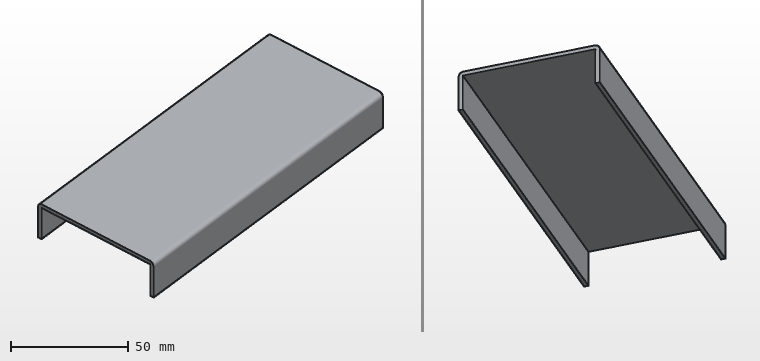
import cadquery as cq

length = 152.4
width = 64.5
height = 19.0
wall = 2.0
bend_radius = 2.3

inner_width = width - 2 * wall
inner_height = height - wall

bar = (
    cq.Workplane("XY")
    .box(width, length, height, centered=(True, True, False))
    .edges("|Y and >Z")
    .fillet(bend_radius)
)

hollow = cq.Workplane("XY").box(inner_width, length, inner_height, centered=(True, True, False))

result = bar.cut(hollow)